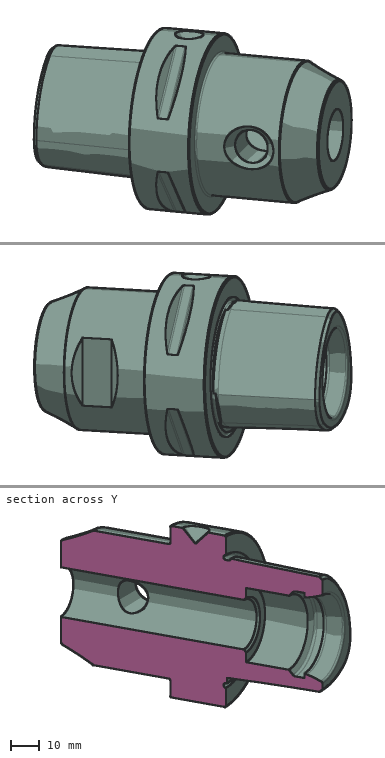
import cadquery as cq
import math

TOTAL_LENGTH = 103.0
SHANK_CHAMFER_LENGTH = 1.3
SHANK_TAPER_END = 35.8
FLANGE_START = 38.0
FLANGE_END = FLANGE_START + 22.0
NOSE_START = 90.4

SHANK_MEAN_RADIUS = 22.05
LOBE_HEIGHT = 1.4
LOBE_ANGLES = (0, 120, 240)
LOBE_PITCH = 120
LOBE_ARC_HALF_ANGLE = LOBE_PITCH / 4
TAPER_SLOPE = 1 / 40
SHANK_CHAMFER_WIDTH = 1.0

RELIEF_RADIUS = 22.6
RELIEF_RUNOUT = 1.0
RELIEF_GROOVE_RADIUS = 24.3
RELIEF_LAND = 0.4

FLANGE_RADIUS = 63.0 / 2
FLANGE_CHAMFER = 0.4
BODY_RADIUS = 49.5 / 2
BODY_ROOT_FILLET = 0.6
NOSE_EDGE_CHAMFER = 0.3
NOSE_END_RADIUS = 19.2
NOSE_ARC_SAG = 0.2
NOSE_END_CHAMFER = 0.5

THROUGH_BORE_RADIUS = 18.0 / 2
THROUGH_BORE_CHAMFER = 0.9
MOUTH_RADIUS = 15.6
MOUTH_ROUNDING = 0.75
PILOT_RADIUS = 28.0 / 2
PILOT_START = 6.1
GROOVE_RADIUS = 15.5
GROOVE_CORNER_RADIUS = 1.45
GROOVE_WALL_ANGLE = 45
GROOVE_START = 7.2
INNER_BORE_RADIUS = 13.5
INNER_BORE_START = 13.2
INNER_BORE_END = 30.0

GRIP_X = 50.0
GRIP_FLOOR_DISTANCE = 28.0
GRIP_FLOOR_WIDTH = 3.7
GRIP_RIM_WIDTH = 7.9
GRIP_CORNER_RADIUS = 0.6
GRIP_ANGLES = (45, 135, 225, 315)
DIMPLE_RADIUS = 4.93

SCREW_X = 79.5
SCREW_HOLE_RADIUS = 11.84 / 2
SCREW_RIM_RADIUS = 17.84 / 2
SLOT_FLOOR_DISTANCE = BODY_RADIUS - 3.1
SLOT_FLOOR_WIDTH = 10.4


def revolve_about_x(sketch):
    """Full turn of an XY outline (X axial, Y radial) about the X axis."""
    return sketch.close().revolve(360, (0, 0, 0), (1, 0, 0))


def yz_polar(radius, angle):
    """Point in the YZ plane, angle measured from +Z towards +Y."""
    return (radius * math.sin(math.radians(angle)), radius * math.cos(math.radians(angle)))


def add_polygon(workplane, inset):
    """Three-lobed outline of six tangent arcs, offset inward by inset."""
    lobe_centre = 2 * LOBE_HEIGHT / (2 - math.sqrt(3))
    lobe_radius = SHANK_MEAN_RADIUS + LOBE_HEIGHT - lobe_centre - inset
    lobe_tip = SHANK_MEAN_RADIUS + LOBE_HEIGHT - inset
    flank_middle = SHANK_MEAN_RADIUS - LOBE_HEIGHT - inset
    arc_half_angle = math.radians(LOBE_ARC_HALF_ANGLE)
    joint_across = lobe_radius * math.sin(arc_half_angle)
    joint_along = lobe_centre + lobe_radius * math.cos(arc_half_angle)
    joint_radius = math.hypot(joint_across, joint_along)
    joint_angle = math.degrees(math.atan2(joint_across, joint_along))

    outline = workplane.moveTo(*yz_polar(joint_radius, -joint_angle))
    for lobe_angle in LOBE_ANGLES:
        next_lobe = lobe_angle + LOBE_PITCH
        outline = outline.threePointArc(
            yz_polar(lobe_tip, lobe_angle), yz_polar(joint_radius, lobe_angle + joint_angle)
        )
        outline = outline.threePointArc(
            yz_polar(flank_middle, lobe_angle + LOBE_PITCH / 2),
            yz_polar(joint_radius, next_lobe - joint_angle),
        )
    return outline.close()


def shank_section(start, end, start_inset, end_inset):
    section = add_polygon(cq.Workplane("YZ", origin=(start, 0, 0)), start_inset)
    section = add_polygon(section.workplane(offset=end - start), end_inset)
    return section.loft(ruled=True, combine=True)


def make_shank():
    taper_inset = TAPER_SLOPE * (SHANK_TAPER_END - SHANK_CHAMFER_LENGTH)
    tip_inset = TAPER_SLOPE * SHANK_TAPER_END + SHANK_CHAMFER_WIDTH
    chamfer = shank_section(0, SHANK_CHAMFER_LENGTH, tip_inset, taper_inset)
    taper = shank_section(SHANK_CHAMFER_LENGTH, SHANK_TAPER_END, taper_inset, 0)
    root = shank_section(SHANK_TAPER_END, FLANGE_START, 0, 0)
    lobe_tip = SHANK_MEAN_RADIUS + LOBE_HEIGHT
    root_limit = revolve_about_x(
        cq.Workplane("XY")
        .moveTo(SHANK_TAPER_END, 0)
        .lineTo(SHANK_TAPER_END, lobe_tip)
        .lineTo(SHANK_TAPER_END + RELIEF_RUNOUT, RELIEF_RADIUS)
        .lineTo(FLANGE_START, RELIEF_RADIUS)
        .lineTo(FLANGE_START, 0)
    )
    return chamfer.union(taper).union(root.intersect(root_limit))


def make_body():
    nose_end = TOTAL_LENGTH - NOSE_END_CHAMFER
    nose_top = BODY_RADIUS - NOSE_EDGE_CHAMFER
    nose_arc_start = NOSE_START + NOSE_EDGE_CHAMFER
    nose_middle_x = (nose_arc_start + nose_end) / 2
    nose_middle_radius = (nose_top + NOSE_END_RADIUS) / 2 - NOSE_ARC_SAG
    groove_half_width = (RELIEF_GROOVE_RADIUS - RELIEF_RADIUS) / 2
    groove_floor = (FLANGE_START + groove_half_width, RELIEF_RADIUS + groove_half_width)
    land_face = FLANGE_START - RELIEF_LAND
    return revolve_about_x(
        cq.Workplane("XY")
        .moveTo(land_face, 0)
        .lineTo(land_face, RELIEF_RADIUS)
        .lineTo(FLANGE_START, RELIEF_RADIUS)
        .threePointArc(groove_floor, (FLANGE_START, RELIEF_GROOVE_RADIUS))
        .lineTo(FLANGE_START, FLANGE_RADIUS - FLANGE_CHAMFER)
        .lineTo(FLANGE_START + FLANGE_CHAMFER, FLANGE_RADIUS)
        .lineTo(FLANGE_END - FLANGE_CHAMFER, FLANGE_RADIUS)
        .lineTo(FLANGE_END, FLANGE_RADIUS - FLANGE_CHAMFER)
        .lineTo(FLANGE_END, BODY_RADIUS + BODY_ROOT_FILLET)
        .radiusArc((FLANGE_END + BODY_ROOT_FILLET, BODY_RADIUS), -BODY_ROOT_FILLET)
        .lineTo(NOSE_START, BODY_RADIUS)
        .lineTo(nose_arc_start, nose_top)
        .threePointArc((nose_middle_x, nose_middle_radius), (nose_end, NOSE_END_RADIUS))
        .lineTo(TOTAL_LENGTH, NOSE_END_RADIUS - NOSE_END_CHAMFER)
        .lineTo(TOTAL_LENGTH, 0)
    )


def make_bores():
    wall_angle = math.radians(GROOVE_WALL_ANGLE)
    corner_x = INNER_BORE_START - (GROOVE_RADIUS - INNER_BORE_RADIUS) / math.tan(wall_angle)
    corner_reach = GROOVE_CORNER_RADIUS * math.tan(wall_angle / 2)
    corner_end = (
        corner_x + corner_reach * math.cos(wall_angle),
        GROOVE_RADIUS - corner_reach * math.sin(wall_angle),
    )
    return revolve_about_x(
        cq.Workplane("XY")
        .moveTo(0, 0)
        .lineTo(0, MOUTH_RADIUS + MOUTH_ROUNDING)
        .radiusArc((MOUTH_ROUNDING, MOUTH_RADIUS), -MOUTH_ROUNDING)
        .lineTo(PILOT_START, PILOT_RADIUS)
        .lineTo(GROOVE_START, PILOT_RADIUS)
        .lineTo(GROOVE_START, GROOVE_RADIUS)
        .lineTo(corner_x - corner_reach, GROOVE_RADIUS)
        .radiusArc(corner_end, GROOVE_CORNER_RADIUS)
        .lineTo(INNER_BORE_START, INNER_BORE_RADIUS)
        .lineTo(INNER_BORE_END, INNER_BORE_RADIUS)
        .lineTo(INNER_BORE_END, THROUGH_BORE_RADIUS + THROUGH_BORE_CHAMFER)
        .lineTo(INNER_BORE_END + THROUGH_BORE_CHAMFER, THROUGH_BORE_RADIUS)
        .lineTo(TOTAL_LENGTH, THROUGH_BORE_RADIUS)
        .lineTo(TOTAL_LENGTH, 0)
    )


def flared_slot(centre_x, floor_distance, floor_width, top_distance, top_width, length):
    """Trapezoidal slot cutter facing +Y and running along Z."""
    return (
        cq.Workplane("XY")
        .moveTo(centre_x - floor_width / 2, floor_distance)
        .lineTo(centre_x - top_width / 2, top_distance)
        .lineTo(centre_x + top_width / 2, top_distance)
        .lineTo(centre_x + floor_width / 2, floor_distance)
        .close()
        .extrude(length / 2, both=True)
    )


def cut_grip_slots(part):
    slot = flared_slot(
        GRIP_X, GRIP_FLOOR_DISTANCE, GRIP_FLOOR_WIDTH, FLANGE_RADIUS, GRIP_RIM_WIDTH, 2 * FLANGE_RADIUS
    )
    slot = slot.faces("<Y").edges("|Z").fillet(GRIP_CORNER_RADIUS)
    for angle in GRIP_ANGLES:
        part = part.cut(slot.rotate((0, 0, 0), (1, 0, 0), angle))
    return part


def cut_dimple(part):
    """Right-angled cone sunk into the top of the flange rim."""
    cone = cq.Solid.makeCone(
        0, DIMPLE_RADIUS, DIMPLE_RADIUS,
        cq.Vector(GRIP_X, 0, FLANGE_RADIUS - DIMPLE_RADIUS), cq.Vector(0, 0, 1),
    )
    return part.cut(cq.Workplane(obj=cone))


def cut_screw_hole(part):
    """Radial hole into the through bore with a 45-degree countersink."""
    countersink_depth = SCREW_RIM_RADIUS - SCREW_HOLE_RADIUS
    towards_minus_y = cq.Vector(0, -1, 0)
    hole = cq.Solid.makeCylinder(SCREW_HOLE_RADIUS, BODY_RADIUS, cq.Vector(SCREW_X, 0, 0), towards_minus_y)
    countersink = cq.Solid.makeCone(
        SCREW_HOLE_RADIUS, SCREW_RIM_RADIUS, countersink_depth,
        cq.Vector(SCREW_X, countersink_depth - BODY_RADIUS, 0), towards_minus_y,
    )
    return part.cut(cq.Workplane(obj=hole)).cut(cq.Workplane(obj=countersink))


def cut_relief_slot(part):
    """Straight slot with 45-degree sides across the +Y side of the body."""
    depth = BODY_RADIUS - SLOT_FLOOR_DISTANCE
    slot = flared_slot(
        SCREW_X, SLOT_FLOOR_DISTANCE, SLOT_FLOOR_WIDTH,
        BODY_RADIUS, SLOT_FLOOR_WIDTH + 2 * depth, 2 * BODY_RADIUS,
    )
    return part.cut(slot)


result = make_body().union(make_shank()).cut(make_bores())
result = cut_grip_slots(result)
result = cut_dimple(result)
result = cut_screw_hole(result)
result = cut_relief_slot(result)